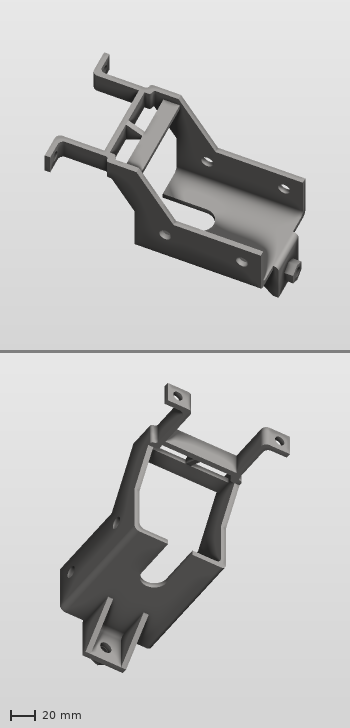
import cadquery as cq
import math


sheet = 5.0
bend_radius = 5.0

channel_width = 90.0
channel_start = 75.0
channel_end = 190.0
channel_wall_top = 47.0
side_hole_diameter = 11.0
side_hole_height = 30.0
side_hole_xs = (103.0, 173.0)
slot_width = 24.0
slot_center_x = 115.0

arm_top = 100.0
arm_height = 20.0
arm_top_end = 76.8
arm_slope_end = 110.5
arm_bottom_end = 54.0
joggle_x = 49.0
joggle_radius = sheet / 2
tab_span = 120.2
tab_hole_spacing = 100.2
tab_hole_diameter = 9.0

crossbar_start = 43.0
tie_gap = 15.0
tie_plate_length = 15.0

flange_width = 40.0
flange_drop = 35.0
flange_hole_diameter = 11.0
nut_center_height = -20.0
nut_across_flats = 17.0
nut_length = 8.0
nut_bore_diameter = 10.0

half_width = channel_width / 2
inner_half_width = half_width - sheet
arm_inner = inner_half_width - sheet
arm_bottom = arm_top - arm_height
arm_middle = (arm_top + arm_bottom) / 2
crossbar_end = crossbar_start + sheet
tie_plate_start = crossbar_end + tie_gap
flange_outer_x = channel_end + sheet


def box(x_range, y_range, z_range):
    """Box between the given limits along each axis."""
    size = [high - low for low, high in (x_range, y_range, z_range)]
    corner = (x_range[0], y_range[0], z_range[0])
    return cq.Workplane("XY").box(*size, centered=False).translate(corner)


def plate_xz(points, y_start, thickness):
    """Plate with an outline in XZ, running from y_start toward +Y."""
    return cq.Workplane("XZ", origin=(0, y_start, 0)).polyline(points).close().extrude(-thickness)


def cylinder_along_x(diameter, x_start, length, y, z):
    return cq.Workplane("YZ", origin=(x_start, y, z)).circle(diameter / 2).extrude(length)


def make_channel():
    """U-shaped channel with rounded bends, its walls rising into the sloped arms."""
    outer = box((arm_bottom_end, channel_end), (-half_width, half_width), (0, arm_top))
    outer = outer.faces("<Z").edges("|X").fillet(bend_radius)
    cavity = box(
        (arm_bottom_end, channel_end), (-inner_half_width, inner_half_width), (sheet, arm_top)
    )
    cavity = cavity.faces("<Z").edges("|X").fillet(bend_radius)
    side_outline = [
        (arm_bottom_end, arm_top),
        (arm_top_end, arm_top),
        (arm_slope_end, channel_wall_top),
        (channel_end, channel_wall_top),
        (channel_end, 0),
        (channel_start, 0),
        (channel_start, channel_wall_top),
        (arm_bottom_end, arm_bottom),
    ]
    side_profile = plate_xz(side_outline, -half_width, channel_width)
    return outer.cut(cavity).intersect(side_profile)


def make_bent_strip():
    """Strip on the +Y side: tab, bend, straight run and joggle out to the channel wall."""
    tab_end = tab_span / 2
    overlap_end = arm_bottom_end + sheet
    joggle_inner_x = joggle_x + sheet
    radius = joggle_radius
    return (
        cq.Workplane("XY", origin=(0, 0, arm_bottom))
        .moveTo(0, tab_end)
        .lineTo(0, arm_inner + bend_radius)
        .tangentArcPoint((bend_radius, arm_inner), relative=False)
        .lineTo(joggle_inner_x - radius, arm_inner)
        .tangentArcPoint((joggle_inner_x, arm_inner + radius), relative=False)
        .tangentArcPoint((joggle_inner_x + radius, inner_half_width), relative=False)
        .lineTo(overlap_end, inner_half_width)
        .lineTo(overlap_end, half_width)
        .lineTo(joggle_x + radius, half_width)
        .tangentArcPoint((joggle_x, half_width - radius), relative=False)
        .tangentArcPoint((joggle_x - radius, inner_half_width), relative=False)
        .lineTo(sheet + bend_radius, inner_half_width)
        .tangentArcPoint((sheet, inner_half_width + bend_radius), relative=False)
        .lineTo(sheet, tab_end)
        .close()
        .extrude(arm_height)
    )


def make_ties():
    """Crossbar and flat tie plate between the arms, joined by a tapered rib."""
    plate_bottom = arm_middle - sheet / 2
    plate_top = arm_middle + sheet / 2
    crossbar = box((crossbar_start, crossbar_end), (-arm_inner, arm_inner), (arm_bottom, arm_top))
    tie_plate = box(
        (tie_plate_start, tie_plate_start + tie_plate_length),
        (-inner_half_width, inner_half_width),
        (plate_bottom, plate_top),
    )
    rib_outline = [
        (crossbar_end, arm_bottom),
        (crossbar_end, arm_top),
        (tie_plate_start, plate_top),
        (tie_plate_start, plate_bottom),
    ]
    rib = plate_xz(rib_outline, -sheet / 2, sheet)
    return crossbar.union(tie_plate).union(rib)


def make_hanging_flange():
    """Floor tongue bent down into a flange, with a triangular gusset along each side."""
    half_flange = flange_width / 2
    bend_start = channel_end - bend_radius
    tongue = (
        cq.Workplane("XZ", origin=(0, -half_flange, 0))
        .moveTo(bend_start, sheet)
        .lineTo(flange_outer_x - bend_radius, sheet)
        .tangentArcPoint((flange_outer_x, sheet - bend_radius), relative=False)
        .lineTo(flange_outer_x, -flange_drop)
        .lineTo(channel_end, -flange_drop)
        .lineTo(channel_end, -bend_radius)
        .tangentArcPoint((bend_start, 0), relative=False)
        .close()
        .extrude(-flange_width)
    )
    gusset_outline = [
        (channel_end - flange_drop, 0),
        (channel_end, 0),
        (channel_end, -flange_drop),
    ]
    for gusset_y in (-half_flange, half_flange - sheet):
        tongue = tongue.union(plate_xz(gusset_outline, gusset_y, sheet))
    return tongue


def make_nut():
    """Hexagonal nut on the outer flange face, with two flats facing +Y and -Y."""
    across_corners = nut_across_flats / math.cos(math.pi / 6)
    hexagon = cq.Workplane("XY").polygon(6, across_corners).extrude(nut_length)
    corners_up = hexagon.rotate((0, 0, 0), (0, 1, 0), 90)
    return corners_up.translate((flange_outer_x, 0, nut_center_height))


def cut_slot(body):
    """Round-ended slot through the floor, open at the arm end."""
    slot_radius = slot_width / 2
    straight = box((channel_start, slot_center_x), (-slot_radius, slot_radius), (0, sheet))
    round_end = cq.Workplane("XY").center(slot_center_x, 0).circle(slot_radius).extrude(sheet)
    return body.cut(straight).cut(round_end)


def cut_holes(body):
    """Holes in the channel walls, the mounting tabs, the flange and the nut."""
    for hole_x in side_hole_xs:
        side_hole = (
            cq.Workplane("XZ", origin=(hole_x, -half_width, side_hole_height))
            .circle(side_hole_diameter / 2)
            .extrude(-channel_width)
        )
        body = body.cut(side_hole)
    for hole_y in (-tab_hole_spacing / 2, tab_hole_spacing / 2):
        body = body.cut(cylinder_along_x(tab_hole_diameter, 0, sheet, hole_y, arm_middle))
    flange_hole = cylinder_along_x(flange_hole_diameter, channel_end, sheet, 0, nut_center_height)
    nut_bore = cylinder_along_x(nut_bore_diameter, flange_outer_x, nut_length, 0, nut_center_height)
    return body.cut(flange_hole).cut(nut_bore)


strip = make_bent_strip()
body = (
    make_channel()
    .union(strip)
    .union(strip.mirror("XZ"))
    .union(make_ties())
    .union(make_hanging_flange())
    .union(make_nut())
)
result = cut_holes(cut_slot(body))